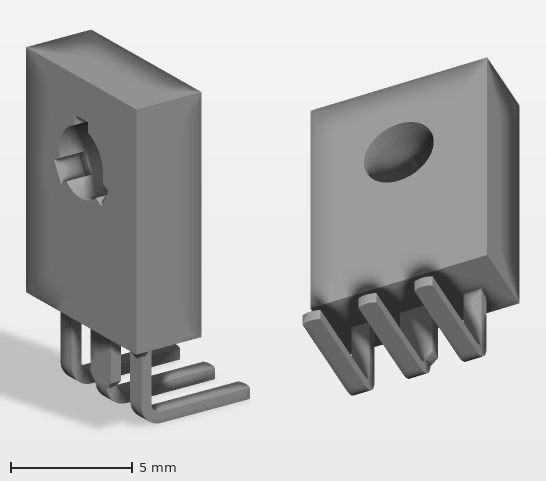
import cadquery as cq

BODY_WIDTH = 8.0
BODY_DEPTH = 3.26
BODY_HEIGHT = 11.0

HOLE_FROM_TOP = 3.8
FRONT_HOLE_DIAMETER = 3.2
BACK_HOLE_DIAMETER = 3.16
FRONT_HOLE_DEPTH = 1.25
KEYWAY_COUNT = 3
KEYWAY_WIDTH = 1.0
KEYWAY_REACH = 2.0

TOTAL_HEIGHT = 14.9
TOTAL_DEPTH = 6.51
LEAD_DROP = TOTAL_HEIGHT - BODY_HEIGHT
LEAD_PITCH = 2.53
LEAD_WIDTH = 0.82
LEAD_THICKNESS = 0.5
LEAD_FRONT = 0.98
BEND_OUTER_RADIUS = 1.0
TIP_BULGE = 0.09

SHOULDER_WIDTH = 1.48
TAPER_TOP = 1.24 - LEAD_DROP
TAPER_HEIGHT = 0.33


def make_body():
    return cq.Workplane("XY").box(
        BODY_WIDTH, BODY_DEPTH, BODY_HEIGHT, centered=(True, False, False)
    )


def make_hole():
    plane = cq.Workplane("XZ", origin=(0, 0, BODY_HEIGHT - HOLE_FROM_TOP))
    cutter = plane.circle(BACK_HOLE_DIAMETER / 2).extrude(-BODY_DEPTH)
    cutter = cutter.union(plane.circle(FRONT_HOLE_DIAMETER / 2).extrude(-FRONT_HOLE_DEPTH))
    for index in range(KEYWAY_COUNT):
        keyway = (
            plane.transformed(rotate=(0, 0, index * 360 / KEYWAY_COUNT))
            .center(0, KEYWAY_REACH / 2)
            .rect(KEYWAY_WIDTH, KEYWAY_REACH)
            .extrude(-FRONT_HOLE_DEPTH)
        )
        cutter = cutter.union(keyway)
    return cutter


def make_bent_strip(width):
    """L-shaped strip with its upper end on the body underside."""
    back = LEAD_FRONT + LEAD_THICKNESS
    strip = (
        cq.Workplane("YZ")
        .moveTo(LEAD_FRONT, 0)
        .lineTo(LEAD_FRONT, -LEAD_DROP)
        .lineTo(TOTAL_DEPTH, -LEAD_DROP)
        .lineTo(TOTAL_DEPTH, LEAD_THICKNESS - LEAD_DROP)
        .lineTo(back, LEAD_THICKNESS - LEAD_DROP)
        .lineTo(back, 0)
        .close()
        .extrude(width / 2, both=True)
    )
    outer_corner = cq.selectors.NearestToPointSelector((0, LEAD_FRONT, -LEAD_DROP))
    inner_corner = cq.selectors.NearestToPointSelector((0, back, LEAD_THICKNESS - LEAD_DROP))
    strip = strip.edges("|X").edges(outer_corner).fillet(BEND_OUTER_RADIUS)
    return strip.edges("|X").edges(inner_corner).fillet(BEND_OUTER_RADIUS - LEAD_THICKNESS)


def make_lead():
    """Narrow lead with a rounded tip."""
    half = LEAD_WIDTH / 2
    plan = (
        cq.Workplane("XY", origin=(0, 0, -LEAD_DROP))
        .moveTo(-half, 0)
        .lineTo(half, 0)
        .lineTo(half, TOTAL_DEPTH - TIP_BULGE)
        .threePointArc((0, TOTAL_DEPTH), (-half, TOTAL_DEPTH - TIP_BULGE))
        .close()
        .extrude(LEAD_DROP)
    )
    return make_bent_strip(LEAD_WIDTH).intersect(plan)


def make_shoulder():
    """Wide upper stretch of the middle lead."""
    half_wide = SHOULDER_WIDTH / 2
    half_narrow = LEAD_WIDTH / 2
    taper_bottom = TAPER_TOP - TAPER_HEIGHT
    outline = (
        cq.Workplane("XZ")
        .moveTo(-half_wide, 0)
        .lineTo(half_wide, 0)
        .lineTo(half_wide, TAPER_TOP)
        .lineTo(half_narrow, taper_bottom)
        .lineTo(-half_narrow, taper_bottom)
        .lineTo(-half_wide, TAPER_TOP)
        .close()
        .extrude(-(LEAD_FRONT + LEAD_THICKNESS))
    )
    return make_bent_strip(SHOULDER_WIDTH).intersect(outline)


result = make_body().cut(make_hole())
for position in (-1, 0, 1):
    result = result.union(make_lead().translate((position * LEAD_PITCH, 0, 0)))
result = result.union(make_shoulder())